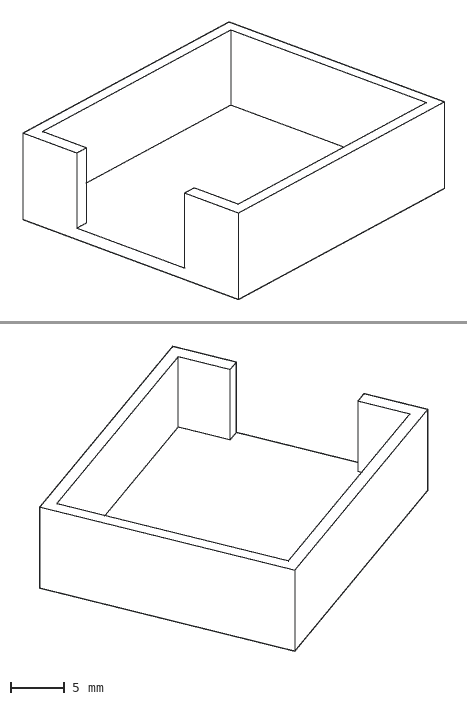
import cadquery as cq

width = 26.0
length = 30.0
height = 9.0
wall = 1.2
front_wall = 1.4
floor = 1.2
notch_width = width / 2

outer_block = cq.Workplane("XY").box(width, length, height, centered=(True, True, False))

cavity_width = width - 2 * wall
cavity_length = length - wall - front_wall
cavity_depth = height - floor
cavity = (
    cq.Workplane("XY")
    .box(cavity_width, cavity_length, cavity_depth, centered=(True, False, False))
    .translate((0, front_wall - length / 2, floor))
)

notch = (
    cq.Workplane("XY")
    .box(notch_width, front_wall, cavity_depth, centered=(True, False, False))
    .translate((0, -length / 2, floor))
)

result = outer_block.cut(cavity).cut(notch)